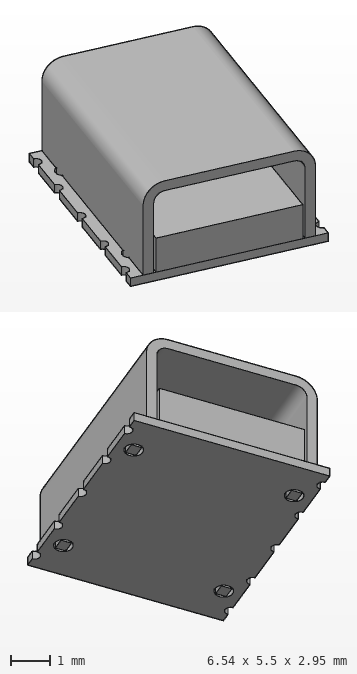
import cadquery as cq

LENGTH = 6.54
BOARD_WIDTH = 5.5
BOARD_THICKNESS = 0.255

NOTCH_DIAMETER = 0.3
NOTCH_INNER_X = 1.48
NOTCH_OUTER_X = 2.83

CORE_WIDTH = 4.08
CORE_HEIGHT = 1.03
CORE_HOLE_DIAMETER = 0.76
CORE_HOLE_X = -1.79

TOTAL_HEIGHT = 2.95
COVER_HEIGHT = TOTAL_HEIGHT - BOARD_THICKNESS
COVER_WIDTH = 4.8
COVER_THICKNESS = 0.295
BEND_OUTER_RADIUS = 0.6
BEND_INNER_RADIUS = BEND_OUTER_RADIUS - COVER_THICKNESS

TAB_LENGTH = 0.35
TAB_X = 2.16
TAB_Y = (COVER_WIDTH - COVER_THICKNESS) / 2
TAB_HOLE_DIAMETER = 0.5


def block_on(base_z, width, height):
    """Full-length block, centred in X and Y, with its underside at base_z."""
    return (
        cq.Workplane("XY")
        .workplane(offset=base_z)
        .box(LENGTH, width, height, centered=(True, True, False))
    )


def tab_centres():
    """Workplane at the underside of the board, with a point at each of the four tabs."""
    return (
        cq.Workplane("XY")
        .rect(2 * TAB_X, 2 * TAB_Y, forConstruction=True)
        .vertices()
    )


def make_board():
    """Base plate with notched long edges and four round holes for the tabs."""
    notch_x = (-NOTCH_OUTER_X, -NOTCH_INNER_X, 0, NOTCH_INNER_X, NOTCH_OUTER_X)
    edge_y = BOARD_WIDTH / 2
    notches = (
        cq.Workplane("XY")
        .pushPoints([(x, y) for x in notch_x for y in (-edge_y, edge_y)])
        .circle(NOTCH_DIAMETER / 2)
        .extrude(BOARD_THICKNESS)
    )
    holes = tab_centres().circle(TAB_HOLE_DIAMETER / 2).extrude(BOARD_THICKNESS)
    return block_on(0, BOARD_WIDTH, BOARD_THICKNESS).cut(notches).cut(holes)


def make_core():
    """Rectangular block with one vertical hole through its full height."""
    hole = (
        cq.Workplane("XY")
        .workplane(offset=BOARD_THICKNESS)
        .center(CORE_HOLE_X, 0)
        .circle(CORE_HOLE_DIAMETER / 2)
        .extrude(CORE_HEIGHT)
    )
    return block_on(BOARD_THICKNESS, CORE_WIDTH, CORE_HEIGHT).cut(hole)


def arched_block(width, height, bend_radius):
    """Block standing on the board with its two upper long edges rounded."""
    return block_on(BOARD_THICKNESS, width, height).edges("|X and >Z").fillet(bend_radius)


def make_cover():
    """Inverted U of constant sheet thickness, with concentric bends and four tabs."""
    outside = arched_block(COVER_WIDTH, COVER_HEIGHT, BEND_OUTER_RADIUS)
    inside = arched_block(
        COVER_WIDTH - 2 * COVER_THICKNESS,
        COVER_HEIGHT - COVER_THICKNESS,
        BEND_INNER_RADIUS,
    )
    tabs = tab_centres().rect(TAB_LENGTH, COVER_THICKNESS).extrude(BOARD_THICKNESS)
    return outside.cut(inside).union(tabs)


board = make_board()
core = make_core()
cover = make_cover()

result = cq.Compound.makeCompound([board.val(), core.val(), cover.val()])